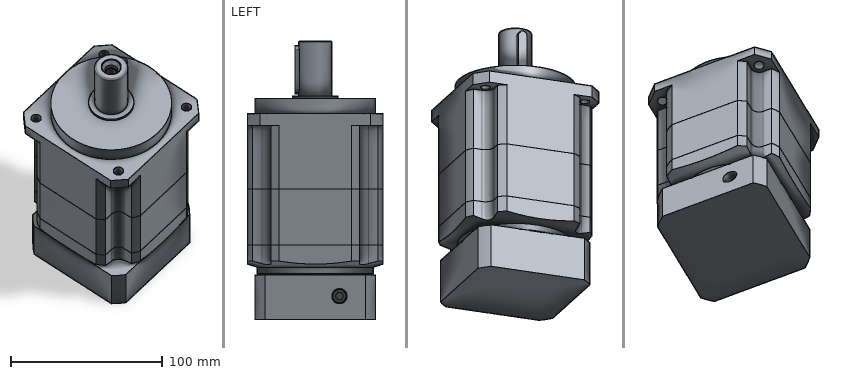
import cadquery as cq
import math

body_width = 90.0
body_corner_radius = 51.0
bolt_circle_diameter = 100.0
bolt_hole_diameter = 6.6
bolt_relief_radius = 6.0

adapter_top = 29.5
cover_joint = 30.0
lower_joint = 49.5
upper_joint = 86.5
flange_bottom = 128.5
flange_top = 136.5
pilot_top = 146.5
overall_height = 184.5

flange_chamfer = 8.4
pilot_diameter = 80.0

neck_diameter = 77.0
groove_chamfer = 0.5
neck_top = 34.7
cone_angle = 18.0

adapter_width = 80.0
adapter_corner_radius = 52.0
access_hole_diameter = 10.0
access_hole_depth = 15.0
screw_head_chamfer = 0.7
screw_socket_diameter = 5.0
screw_socket_depth = 8.0
access_hole_y = -16.0
access_hole_z = 15.6

shaft_diameter = 22.0
shaft_edge_radius = 1.0
collar_diameter = 30.0
collar_height = 1.5

centre_mouth_diameter = 13.2
centre_cone_diameter = 12.2
centre_recess_diameter = 8.4
centre_rim_depth = 0.3
centre_cone_depth = 3.3
centre_recess_depth = 6.0
centre_bore_diameter = 6.8
centre_bore_depth = 25.0
drill_tip_angle = 118.0

key_width = 6.0
key_height = 6.0
key_length = 32.0
key_bottom = 149.5
key_outer_y = 13.5

bolt_offset = bolt_circle_diameter / 2 / math.sqrt(2)
notch_start = bolt_offset - bolt_relief_radius


def rounded_square(width, corner_radius, bottom, top):
    """Square prism whose corners are cut by a coaxial cylinder."""
    height = top - bottom
    square = cq.Workplane("XY", origin=(0, 0, bottom)).rect(width, width).extrude(height)
    turned = cq.Workplane("XY", origin=(0, 0, bottom)).circle(corner_radius).extrude(height)
    return square.intersect(turned)


def housing_section(bottom, top):
    """Length of housing profile with a bolt notch along each corner."""
    section = rounded_square(body_width, body_corner_radius, bottom, top)
    notch_size = body_width / 2
    notch_centre = notch_start + notch_size / 2
    notch = (
        cq.Workplane("XY", origin=(notch_centre, notch_centre, bottom))
        .rect(notch_size, notch_size)
        .extrude(top - bottom)
        .edges("|Z and <X and <Y")
        .fillet(bolt_relief_radius)
    )
    for corner in range(4):
        section = section.cut(notch.rotate((0, 0, 0), (0, 0, 1), 90 * corner))
    return section


def make_output_housing():
    """Upper housing section with its mounting flange and pilot."""
    flange = (
        cq.Workplane("XY", origin=(0, 0, flange_bottom))
        .rect(body_width, body_width)
        .extrude(flange_top - flange_bottom)
        .edges("|Z")
        .chamfer(flange_chamfer)
    )
    bolt_holes = (
        cq.Workplane("XY", origin=(0, 0, flange_bottom))
        .rect(2 * bolt_offset, 2 * bolt_offset, forConstruction=True)
        .vertices()
        .circle(bolt_hole_diameter / 2)
        .extrude(flange_top - flange_bottom)
    )
    pilot = (
        cq.Workplane("XY", origin=(0, 0, flange_top))
        .circle(pilot_diameter / 2)
        .extrude(pilot_top - flange_top)
    )
    body = housing_section(upper_joint, flange_bottom)
    return body.union(flange.cut(bolt_holes)).union(pilot)


def make_ring_gear_housing():
    """Plain middle section of the housing."""
    return housing_section(lower_joint, upper_joint)


def make_end_cover():
    """Lower housing section, coned underneath and ending in a round neck."""
    neck_radius = neck_diameter / 2
    cone_rise = (body_corner_radius - neck_radius) * math.tan(math.radians(cone_angle))
    turned = (
        cq.Workplane("XZ")
        .moveTo(0, neck_top)
        .lineTo(neck_radius, neck_top)
        .lineTo(body_corner_radius, neck_top + cone_rise)
        .lineTo(body_corner_radius, lower_joint)
        .lineTo(0, lower_joint)
        .close()
        .revolve(360, (0, 0, 0), (0, 1, 0))
    )
    neck = (
        cq.Workplane("XY", origin=(0, 0, cover_joint))
        .circle(neck_radius)
        .extrude(neck_top - cover_joint)
        .faces("<Z")
        .chamfer(groove_chamfer)
    )
    return housing_section(neck_top, lower_joint).intersect(turned).union(neck)


def make_motor_adapter():
    """Square adapter block with a low round boss and a clamp-screw hole in its -X side."""
    side = -adapter_width / 2
    block = rounded_square(adapter_width, adapter_corner_radius, 0, adapter_top)
    boss_height = cover_joint - adapter_top
    boss_radius = neck_diameter / 2
    boss = (
        cq.Workplane("XY", origin=(0, 0, adapter_top))
        .circle(boss_radius)
        .workplane(offset=boss_height)
        .circle(boss_radius - groove_chamfer)
        .loft()
    )
    access_radius = access_hole_diameter / 2
    socket_radius = screw_socket_diameter / 2
    floor = side + access_hole_depth
    hole = (
        cq.Workplane("XY")
        .moveTo(side, 0)
        .lineTo(side, access_radius)
        .lineTo(floor + screw_head_chamfer, access_radius)
        .lineTo(floor, access_radius - screw_head_chamfer)
        .lineTo(floor, socket_radius)
        .lineTo(floor + screw_socket_depth, socket_radius)
        .lineTo(floor + screw_socket_depth, 0)
        .close()
        .revolve(360, (0, 0, 0), (1, 0, 0))
        .translate((0, access_hole_y, access_hole_z))
    )
    return block.union(boss).cut(hole)


def make_key():
    """Round-ended parallel key standing on the +Y side of the shaft."""
    return (
        cq.Workplane("XZ", origin=(0, key_outer_y, key_bottom + key_length / 2))
        .slot2D(key_length, key_width, 90)
        .extrude(key_height)
    )


def make_shaft(key):
    """Collared output shaft with a keyway and a threaded centre hole."""
    collar_top = pilot_top + collar_height
    collar = (
        cq.Workplane("XY", origin=(0, 0, pilot_top))
        .circle(collar_diameter / 2)
        .extrude(collar_height)
    )
    journal = (
        cq.Workplane("XY", origin=(0, 0, collar_top))
        .circle(shaft_diameter / 2)
        .extrude(overall_height - collar_top)
        .faces(">Z")
        .fillet(shaft_edge_radius)
    )
    bore_radius = centre_bore_diameter / 2
    recess_radius = centre_recess_diameter / 2
    bore_floor = overall_height - centre_bore_depth
    tip_depth = bore_radius / math.tan(math.radians(drill_tip_angle / 2))
    centre_hole = (
        cq.Workplane("XZ")
        .moveTo(0, overall_height)
        .lineTo(centre_mouth_diameter / 2, overall_height)
        .lineTo(centre_cone_diameter / 2, overall_height - centre_rim_depth)
        .lineTo(recess_radius, overall_height - centre_cone_depth)
        .lineTo(recess_radius, overall_height - centre_recess_depth)
        .lineTo(bore_radius, overall_height - centre_recess_depth)
        .lineTo(bore_radius, bore_floor)
        .lineTo(0, bore_floor - tip_depth)
        .close()
        .revolve(360, (0, 0, 0), (0, 1, 0))
    )
    return collar.union(journal).cut(centre_hole).cut(key)


output_housing = make_output_housing()
ring_gear_housing = make_ring_gear_housing()
end_cover = make_end_cover()
motor_adapter = make_motor_adapter()
key = make_key()
shaft = make_shaft(key)

result = cq.Compound.makeCompound([
    output_housing.val(),
    ring_gear_housing.val(),
    end_cover.val(),
    motor_adapter.val(),
    shaft.val(),
    key.val(),
])